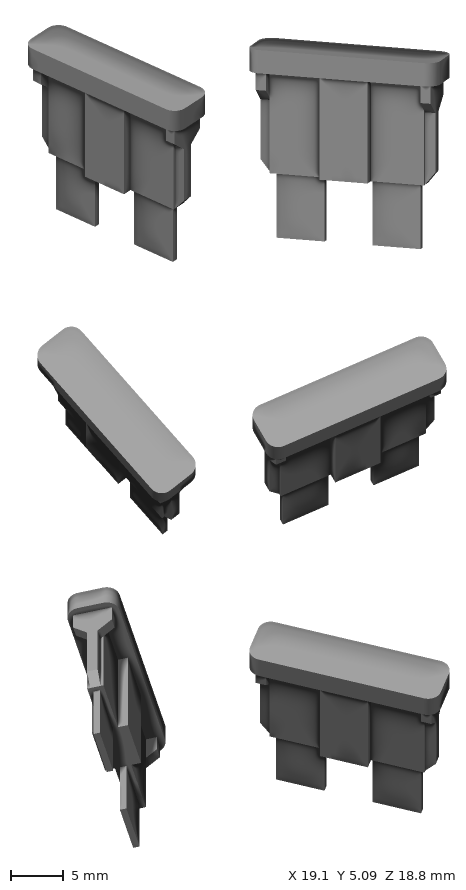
import cadquery as cq


cap_width = 19.05
rail_width = 17.55
panel_width = 15.47
center_width = 4.8
blade_width = 4.84

cap_thickness = 5.09
shoulder_thickness = 3.81
center_thickness = 3.55
panel_thickness = 1.6
rail_thickness = 1.03
blade_thickness = 0.63

cap_depth = 2.29
shoulder_depth = 4.1
taper_depth = 5.31
rail_corner_depth = 11.15
body_depth = 12.42
total_depth = 18.8

cap_corner_radius = 1.28


def hanging_block(width, thickness, top_depth, bottom_depth, center_x=0):
    """Box between two depths, centred on Y = 0."""
    height = bottom_depth - top_depth
    return (
        cq.Workplane("XY")
        .box(width, thickness, height, centered=(True, True, False))
        .translate((center_x, 0, -bottom_depth))
    )


def make_cap():
    cap = hanging_block(cap_width, cap_thickness, 0, cap_depth)
    return cap.edges("|Z").fillet(cap_corner_radius)


def make_body():
    panel = hanging_block(panel_width, panel_thickness, cap_depth, body_depth)
    center = hanging_block(center_width, center_thickness, cap_depth, body_depth)
    return panel.union(center)


def make_rail(side):
    """Edge rail with a tapered shoulder on top and a cut-off lower outer corner."""
    shoulder_half = shoulder_thickness / 2
    rail_half = rail_thickness / 2
    inner_x = side * panel_width / 2
    outer_x = side * rail_width / 2
    rail = (
        cq.Workplane("YZ", origin=(inner_x, 0, 0))
        .moveTo(-shoulder_half, -cap_depth)
        .lineTo(-shoulder_half, -shoulder_depth)
        .lineTo(-rail_half, -taper_depth)
        .lineTo(-rail_half, -body_depth)
        .lineTo(rail_half, -body_depth)
        .lineTo(rail_half, -taper_depth)
        .lineTo(shoulder_half, -shoulder_depth)
        .lineTo(shoulder_half, -cap_depth)
        .close()
        .extrude(outer_x - inner_x)
    )
    corner = (
        cq.Workplane("XZ")
        .polyline([(inner_x, -body_depth), (outer_x, -rail_corner_depth), (outer_x, -body_depth)])
        .close()
        .extrude(rail_thickness / 2, both=True)
    )
    return rail.cut(corner)


def make_blade(side):
    """Contact blade whose inner edge lines up with the central block."""
    center_x = side * (center_width + blade_width) / 2
    return hanging_block(blade_width, blade_thickness, body_depth, total_depth, center_x)


result = make_cap().union(make_body())
for side in (-1, 1):
    result = result.union(make_rail(side)).union(make_blade(side))